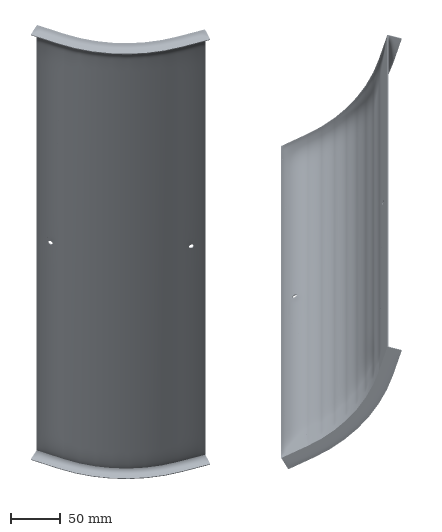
import cadquery as cq
import math

height = 602.0
sheet = 1.0
flange_width = 15.0
flat_length = 30.0
inner_radius = 148.0
bend_angle = 45.0
hole_diameter = 5.0

sine = math.sin(math.radians(bend_angle))
cosine = math.cos(math.radians(bend_angle))
bend_center = (flat_length, flange_width + inner_radius)


def point_on_bend(offset, angle):
    """Point at an angle along the bend, offset outward from the concave face."""
    radius = inner_radius + offset
    turn = math.radians(angle)
    return (
        bend_center[0] + radius * math.sin(turn),
        bend_center[1] - radius * math.cos(turn),
    )


def point_on_far_flat(offset, distance):
    """Point on the slanted flat at a distance beyond the end of the bend."""
    x, y = point_on_bend(offset, bend_angle)
    return (x + distance * cosine, y + distance * sine)


def curved_strip(width, thickness):
    """Plan strip reaching outward from the concave face, extruded along Z."""
    return (
        cq.Workplane("XY")
        .moveTo(0, flange_width)
        .lineTo(*point_on_bend(0, 0))
        .threePointArc(point_on_bend(0, bend_angle / 2), point_on_bend(0, bend_angle))
        .lineTo(*point_on_far_flat(0, flat_length))
        .lineTo(*point_on_far_flat(width, flat_length))
        .lineTo(*point_on_bend(width, bend_angle))
        .threePointArc(point_on_bend(width, bend_angle / 2), point_on_bend(width, 0))
        .lineTo(0, flange_width - width)
        .close()
        .extrude(thickness)
    )


def hole_cutter(center, outward):
    """Cylinder through the web at mid height, centred on its concave face."""
    plane = cq.Plane(origin=(*center, height / 2), xDir=(0, 0, 1), normal=outward)
    return cq.Workplane(plane).circle(hole_diameter / 2).extrude(2 * sheet, both=True)


web = curved_strip(sheet, height)
bottom_flange = curved_strip(flange_width, sheet)
top_flange = bottom_flange.translate((0, 0, height - sheet))
channel = web.union(bottom_flange).union(top_flange)

near_hole = hole_cutter((flat_length / 2, flange_width), (0, -1, 0))
far_hole = hole_cutter(point_on_far_flat(0, flat_length / 2), (sine, -cosine, 0))

result = channel.cut(near_hole).cut(far_hole)